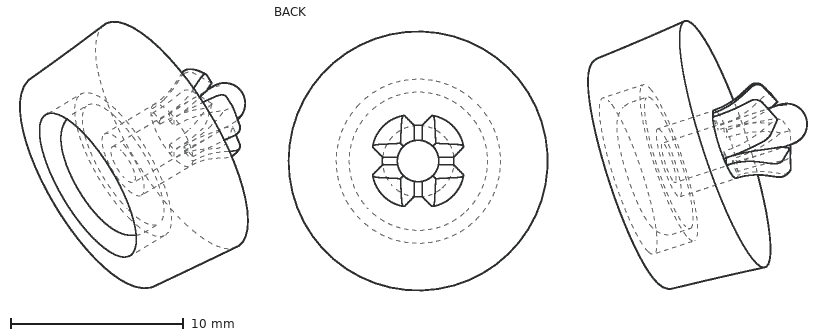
import cadquery as cq
import math

housing_depth = 6.0
back_radius = 7.5
taper_angle = 5.0
rim_fillet = 0.5
pocket_radius = 4.75
pocket_depth = 2.5

button_radius = 4.0
button_fillet = 1.0
button_recess = 0.5
ball_radius = 1.2
total_length = 11.0
ball_center_y = total_length - housing_depth - ball_radius

sleeve_radius = 2.07
slot_width = 0.45
prong_count = 4
bend_angle = 26.0
bend_radius = 6.0
straight_length = 1.26
tip_fillet = 0.5

pocket_floor_y = pocket_depth - housing_depth


def y_plane(y):
    """Plane across the part axis at y, with its normal towards +Y."""
    return cq.Plane(origin=(0, y, 0), xDir=(1, 0, 0), normal=(0, 1, 0))


def make_housing():
    front_radius = back_radius - housing_depth * math.tan(math.radians(taper_angle))
    cup = (
        cq.Workplane("XY")
        .polyline([(0, 0), (back_radius, 0), (front_radius, -housing_depth), (0, -housing_depth)])
        .close()
        .revolve(360, (0, 0, 0), (0, 1, 0))
        .faces("<Y").edges().fillet(rim_fillet)
    )
    pocket = cq.Workplane(y_plane(-housing_depth)).circle(pocket_radius).extrude(pocket_depth)
    sleeve_hole = cq.Workplane(y_plane(-housing_depth)).circle(sleeve_radius).extrude(housing_depth)
    return cup.cut(pocket).cut(sleeve_hole)


def make_stem():
    """Round stem from the pocket floor to the ball center; it also shapes the sleeve bore."""
    return cq.Workplane(y_plane(pocket_floor_y)).circle(ball_radius).extrude(ball_center_y - pocket_floor_y)


def make_pin():
    button_front_y = button_recess - housing_depth
    button = (
        cq.Workplane(y_plane(button_front_y))
        .circle(button_radius)
        .extrude(pocket_floor_y - button_front_y)
        .faces("<Y").edges().fillet(button_fillet)
    )
    ball = cq.Workplane("XY").sphere(ball_radius).translate((0, ball_center_y, 0))
    return button.union(make_stem()).union(ball)


def prong_section(plane):
    """Quadrant of the sleeve section, centred on the plane's x axis, less half a slot on each side."""
    half_slot = slot_width / 2
    corner_angle = math.pi / 4 - math.asin(half_slot / sleeve_radius)
    corner_x = sleeve_radius * math.cos(corner_angle)
    corner_y = sleeve_radius * math.sin(corner_angle)
    return (
        cq.Workplane(plane)
        .moveTo(half_slot * math.sqrt(2), 0)
        .lineTo(corner_x, -corner_y)
        .threePointArc((sleeve_radius, 0), (corner_x, corner_y))
        .close()
    )


def make_prong():
    """One prong pointing along +Y and bending towards +X."""
    bend = prong_section(y_plane(0)).revolve(bend_angle, (bend_radius, -0.15, 0), (bend_radius, 0.15, 0))
    angle = math.radians(bend_angle)
    tilt_plane = cq.Plane(
        origin=(bend_radius * (1 - math.cos(angle)), bend_radius * math.sin(angle), 0),
        xDir=(math.cos(angle), -math.sin(angle), 0),
        normal=(math.sin(angle), math.cos(angle), 0),
    )
    tip = prong_section(tilt_plane).extrude(straight_length)
    outer_middle = tilt_plane.toWorldCoords((sleeve_radius, 0, straight_length))
    tip = tip.edges(cq.selectors.NearestToPointSelector(outer_middle.toTuple())).fillet(tip_fillet)
    return bend.union(tip)


def make_sleeve():
    sleeve = cq.Workplane(y_plane(pocket_floor_y)).circle(sleeve_radius).extrude(-pocket_floor_y)
    prong = make_prong()
    spacing = 360 / prong_count
    for index in range(prong_count):
        sleeve = sleeve.union(prong.rotate((0, 0, 0), (0, 1, 0), (index + 0.5) * spacing))
    return sleeve.cut(make_stem())


housing = make_housing()
pin = make_pin()
sleeve = make_sleeve()

bodies = [body.solids().val() for body in (housing, pin, sleeve)]
result = cq.Compound.makeCompound(bodies)